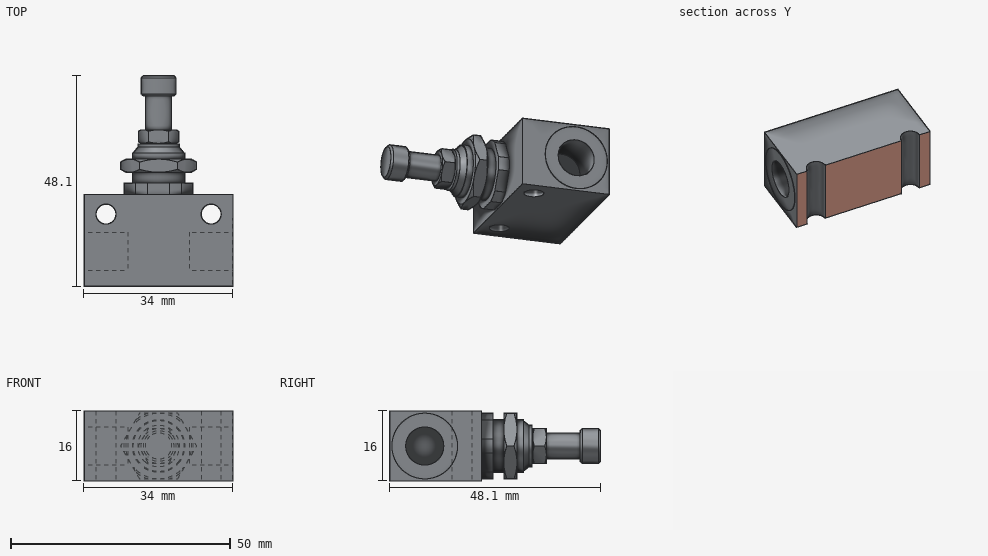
import cadquery as cq
import math

body_width = 34.0
body_depth = 21.0
body_height = 16.0

mount_hole_diameter = 4.5
mount_hole_spacing = 24.0
mount_hole_edge_distance = 4.5

port_axis_y = 8.0
port_bore_diameter = 8.7
port_bore_depth = 10.0
port_seat_diameter = 15.0
port_seat_depth = 0.1

collar_across_flats = 15.0
collar_turned_diameter = 15.8
collar_end = 2.6

neck_diameter = 12.0
neck_end = 9.5
cone_base_diameter = 11.6
cone_end = 10.8
lip_diameter = 9.5
lip_end = 11.5

panel_nut_across_flats = 15.0
panel_nut_start = 5.05
panel_nut_thickness = 3.0

lock_nut_across_flats = 8.0
lock_nut_start = 11.65
lock_nut_thickness = 3.1
nut_chamfer_angle = 30.0

stem_diameter = 6.0
knob_diameter = 8.0
knob_start = 22.45
knob_end = 27.11
knob_chamfer = 0.5


def section_at(station):
    """Workplane across the adjuster axis, facing +Y, at a distance from the rear face."""
    return cq.Workplane("XZ", origin=(0, body_depth + station, 0)).transformed(rotate=(180, 0, 0))


def cylinder(diameter, start, end):
    return section_at(start).circle(diameter / 2).extrude(end - start)


def corner_diameter(across_flats):
    """Diameter of the circle through the corners of a hexagon."""
    return across_flats / math.cos(math.pi / 6)


def hexagon(across_flats, start, end):
    """Hexagonal prism with two corners pointing along X."""
    return section_at(start).polygon(6, corner_diameter(across_flats)).extrude(end - start)


def chamfered_nut(across_flats, start, thickness):
    """Hexagon whose corners are turned back by a cone at both ends."""
    flat_radius = across_flats / 2
    corner_radius = corner_diameter(across_flats) / 2
    corner_drop = (corner_radius - flat_radius) * math.tan(math.radians(nut_chamfer_angle))
    first = body_depth + start
    last = first + thickness
    turned_envelope = (
        cq.Workplane("XY")
        .polyline([
            (0, first),
            (flat_radius, first),
            (corner_radius, first + corner_drop),
            (corner_radius, last - corner_drop),
            (flat_radius, last),
            (0, last),
        ])
        .close()
        .revolve(360, (0, 0, 0), (0, 1, 0))
    )
    return hexagon(across_flats, start, start + thickness).intersect(turned_envelope)


def make_body():
    body = cq.Workplane("XY").box(body_width, body_depth, body_height, centered=(True, False, True))
    mount_hole_y = body_depth - mount_hole_edge_distance
    mount_holes = (
        cq.Workplane("XY", origin=(0, mount_hole_y, -body_height / 2))
        .rarray(mount_hole_spacing, 1, 2, 1)
        .circle(mount_hole_diameter / 2)
        .extrude(body_height)
    )
    body = body.cut(mount_holes)
    for side in (-1, 1):
        port_face = cq.Workplane("YZ", origin=(side * body_width / 2, port_axis_y, 0))
        seat = port_face.circle(port_seat_diameter / 2).extrude(-side * port_seat_depth)
        bore = port_face.circle(port_bore_diameter / 2).extrude(-side * port_bore_depth)
        body = body.cut(seat).cut(bore)
    return body


def make_collar():
    collar = hexagon(collar_across_flats, 0, collar_end)
    return collar.intersect(cylinder(collar_turned_diameter, 0, collar_end))


def make_neck():
    """Cylindrical neck, closed by a cone and a short lip."""
    cone = (
        section_at(neck_end)
        .circle(cone_base_diameter / 2)
        .workplane(offset=cone_end - neck_end)
        .circle(lip_diameter / 2)
        .loft()
    )
    neck = cylinder(neck_diameter, 0, neck_end)
    return neck.union(cone).union(cylinder(lip_diameter, cone_end, lip_end))


def make_knob():
    """Adjusting stem with its chamfered knob."""
    stem = cylinder(stem_diameter, neck_end, knob_end)
    knob = cylinder(knob_diameter, knob_start, knob_end).edges("%CIRCLE").chamfer(knob_chamfer)
    return stem.union(knob)


result = (
    make_body()
    .union(make_collar())
    .union(make_neck())
    .union(chamfered_nut(panel_nut_across_flats, panel_nut_start, panel_nut_thickness))
    .union(make_knob())
    .union(chamfered_nut(lock_nut_across_flats, lock_nut_start, lock_nut_thickness))
)